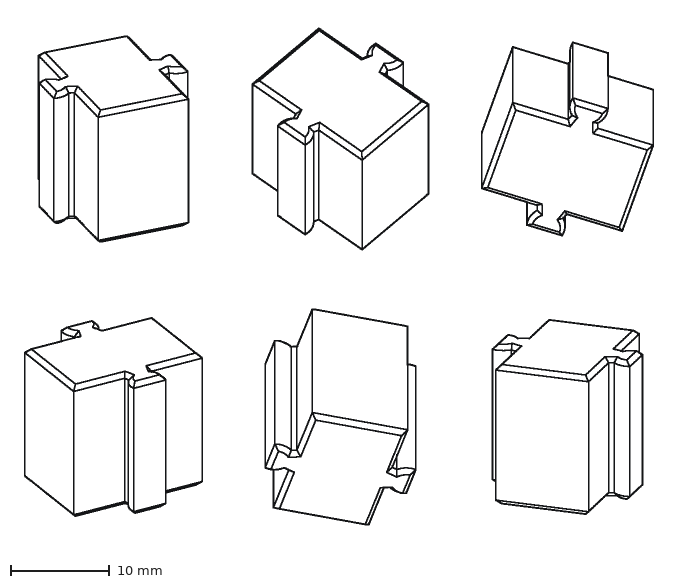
import cadquery as cq

width = 15.0
block_depth = 10.0
height = 15.0
edge_chamfer = 0.5

overall_depth = 14.8
root_half_width = 1.58
waist_half_width = 1.38
waist_offset = 0.54
waist_facet_run = 0.05
tip_half_width = 1.88
flank_radius = 2.0

half_width = width / 2
face_y = block_depth / 2
waist_y = face_y + waist_offset
flank_x = waist_half_width + waist_facet_run
flank_y = waist_y + waist_facet_run
tip_y = overall_depth / 2


def trace_half(outline, side):
    """Trace half of the outline counterclockwise, from one block corner to the opposite one.

    The outline repeats after half a turn about Z: side is +1 for the back half, -1 for the front.
    """
    def at(x, y):
        return (side * x, side * y)

    return (
        outline
        .lineTo(*at(root_half_width, face_y))
        .lineTo(*at(waist_half_width, waist_y))
        .lineTo(*at(flank_x, flank_y))
        .radiusArc(at(tip_half_width, tip_y), -flank_radius)
        .lineTo(*at(-tip_half_width, tip_y))
        .radiusArc(at(-flank_x, flank_y), -flank_radius)
        .lineTo(*at(-waist_half_width, waist_y))
        .lineTo(*at(-root_half_width, face_y))
        .lineTo(*at(-half_width, face_y))
        .lineTo(*at(-half_width, -face_y))
    )


outline = cq.Workplane("XY").moveTo(half_width, face_y)
for side in (1, -1):
    outline = trace_half(outline, side)

body = outline.close().extrude(height)
result = body.faces("<Z or >Z").edges().chamfer(edge_chamfer)